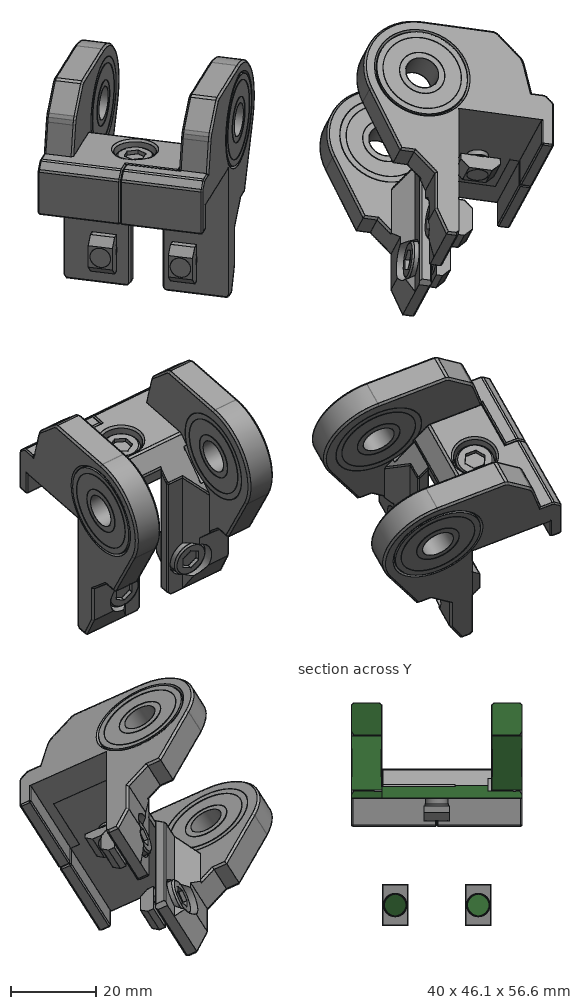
import cadquery as cq
import math


overall_width = 40.0
half_width = overall_width / 2
ear_thickness = 7.15
ear_inner_x = half_width - ear_thickness
leg_inner_x = 3.9
front_y = -23.1
top_z = 22.35
bottom_z = -34.25

hub_radius = 14.1
hub_y = 8.9
hub_z = top_z - hub_radius
plate_top_z = 6.85
lip_thickness = 2.95
lip_bottom_z = -6.6
lip_bevel = 2.0
ear_front_y = -17.85
ear_top_front_y = -9.1
ear_shoulder_drop = 6.45
ear_facet_y = -16.1
ear_facet_z = 14.3
ear_foot = 0.5
leg_thickness = 2.9
ear_back_tip_y = 14.15
ear_back_tip_z = -13.2
ear_step_y = 10.75
leg_ear_y = 5.7
leg_taper_z = -27.9

slope_start_y = -3.85
gusset_size = 4.5

ear_bevel = 0.5
edge_bevel = 0.4
leg_corner_bevel = 1.0
lip_edge_bevel = 0.35
slope_edge_bevel = 0.3

bearing_diameter = 22.0
bearing_bore = 8.0
bearing_inner_ring = 11.0
bearing_seal_diameter = 19.0
seal_depth = 0.1
seat_diameter = 22.2
seat_relief = 0.85
seat_bevel = 0.5

shank_diameter = 5.2
thread_diameter = 5.0
head_diameter = 9.0
head_height = 2.85
head_bevel = 0.45
hex_width = 4.5
hex_depth = 1.0
counterbore_diameter = 10.0
counterbore_bevel = 0.5
leg_screw_x = 9.75
leg_screw_z = -25.0
leg_seat = 1.45
plate_screw_y = -9.95
plate_seat = 2.6

nut_gap = 1.8
nut_length = 9.55
nut_width = 5.9
nut_height = 3.5
nut_bevel = 2.0
collar_diameter = 5.5
collar_height = 0.5

nut_end = nut_gap + nut_height
nut_top = collar_height - nut_gap
ear_core_x = -(half_width + ear_inner_x) / 2
slope_z = slope_start_y + plate_top_z
ear_foot_y = ear_front_y - ear_foot
hub_arc_middle = math.radians(30)
tolerance = 0.005
far = 56.6


def prism(outline, x_start, x_end):
    """Extrude a side outline, given as a YZ sketch, from x_start to x_end."""
    return outline(cq.Workplane("YZ", origin=(x_start, 0, 0))).close().extrude(x_end - x_start)


def bevel_edges_at(solid, points, size):
    """Bevel the edges whose midpoints are nearest to the given points."""
    chosen = [solid.edges(cq.selectors.NearestToPointSelector(point)).val() for point in points]
    return solid.newObject(chosen).chamfer(size)


def hub_tangent_point():
    """Point where the line from the back tip of the ear touches the hub circle."""
    dy = ear_back_tip_y - hub_y
    dz = ear_back_tip_z - hub_z
    angle = math.atan2(dz, dy) + math.acos(hub_radius / math.hypot(dy, dz))
    return hub_at(angle)


def hub_at(angle):
    return (hub_y + hub_radius * math.cos(angle), hub_z + hub_radius * math.sin(angle))


shoulder = (ear_top_front_y - ear_shoulder_drop, top_z - ear_shoulder_drop)
lip_bevel_top = (front_y + lip_bevel, plate_top_z)
lip_bevel_front = (front_y, plate_top_z - lip_bevel)
lip_kinks = [
    lip_bevel_top,
    lip_bevel_front,
    (front_y, lip_bottom_z),
    (front_y + lip_thickness, lip_bottom_z),
]


def is_free(edge):
    """False for edges along the profile corner, which stay sharp."""
    center = edge.Center()
    on_leg_front = abs(center.y) < tolerance and center.z < 0
    on_underside = abs(center.z) < tolerance and center.y < 0
    return not (on_leg_front or on_underside)


def ear_outline(sketch):
    return (
        sketch.moveTo(0, 0)
        .lineTo(ear_foot_y, 0)
        .lineTo(ear_foot_y, plate_top_z)
        .lineTo(ear_front_y, plate_top_z)
        .lineTo(ear_facet_y, ear_facet_z)
        .lineTo(*shoulder)
        .lineTo(ear_top_front_y, top_z)
        .lineTo(hub_y, top_z)
        .threePointArc(hub_at(hub_arc_middle), hub_tangent_point())
        .lineTo(ear_back_tip_y, ear_back_tip_z)
        .lineTo(ear_step_y, ear_back_tip_z)
        .lineTo(leg_ear_y, ear_back_tip_z - (ear_step_y - leg_ear_y))
        .lineTo(leg_ear_y, leg_taper_z)
        .lineTo(leg_thickness, bottom_z)
        .lineTo(0, bottom_z)
    )


def low_outline(sketch):
    """Side outline of everything below the flat plate top and the sloped back."""
    return (
        sketch.moveTo(front_y + lip_thickness, 0)
        .lineTo(front_y + lip_thickness, lip_bottom_z)
        .lineTo(front_y, lip_bottom_z)
        .lineTo(*lip_bevel_front)
        .lineTo(*lip_bevel_top)
        .lineTo(slope_start_y, plate_top_z)
        .lineTo(ear_step_y, slope_z - ear_step_y)
        .lineTo(ear_step_y, ear_back_tip_z)
        .lineTo(leg_ear_y, ear_back_tip_z - (ear_step_y - leg_ear_y))
        .lineTo(leg_ear_y, leg_taper_z)
        .lineTo(leg_thickness, bottom_z)
        .lineTo(0, bottom_z)
        .lineTo(0, 0)
    )


def low_section(x_start, x_end, y_start, y_end):
    """Slice of the low outline between two X and two Y positions, with its kinks bevelled."""
    body = prism(low_outline, x_start, x_end)
    middle_x = (x_start + x_end) / 2
    body = bevel_edges_at(body, [(middle_x, y, z) for y, z in lip_kinks], lip_edge_bevel)
    ends = [(middle_x, slope_start_y, plate_top_z), (middle_x, 0, bottom_z)]
    body = bevel_edges_at(body, ends, edge_bevel)
    window = cq.Workplane("XY", origin=(0, (y_start + y_end) / 2, 0))
    window = window.box(2 * far, y_end - y_start, 2 * far)
    return body.intersect(window)


def ear():
    """Left ear over its full outline, bevelled all round except along the profile corner."""
    body = prism(ear_outline, -half_width, -ear_inner_x)
    kinks = [shoulder, (ear_top_front_y, top_z)]
    body = bevel_edges_at(body, [(ear_core_x, y, z) for y, z in kinks], ear_bevel)
    body = bevel_edges_at(body, [(ear_core_x, 0, bottom_z)], edge_bevel)
    for side in ("<X", ">X"):
        outline = body.faces(side).edges().vals()
        rim = [edge for edge in outline if is_free(edge) and edge.Center().y > ear_foot_y + tolerance]
        body = body.newObject(rim).chamfer(ear_bevel)
    return body


def leg():
    """Left leg with its gusset against the ear, cut off by the sloped back."""
    plan = (
        cq.Workplane("XY", origin=(0, 0, bottom_z))
        .moveTo(ear_core_x, 0)
        .lineTo(-leg_inner_x - edge_bevel, 0)
        .lineTo(-leg_inner_x, edge_bevel)
        .lineTo(-leg_inner_x, leg_thickness - edge_bevel)
        .lineTo(-leg_inner_x - edge_bevel, leg_thickness)
        .lineTo(-ear_inner_x + gusset_size, leg_thickness)
        .lineTo(-ear_inner_x, leg_thickness + gusset_size)
        .lineTo(ear_core_x, leg_thickness + gusset_size)
        .close()
        .extrude(far)
    )
    body = plan.edges("|Y").edges(">X and <Z").chamfer(leg_corner_bevel)
    body = body.intersect(low_section(-half_width, 0, 0, far))
    gusset_middle_y = leg_thickness + gusset_size / 2
    slope_rim = [
        (-ear_inner_x + gusset_size / 2, gusset_middle_y, slope_z - gusset_middle_y),
        (-leg_inner_x, leg_thickness / 2, slope_z - leg_thickness / 2),
        (-leg_inner_x - edge_bevel / 2, leg_thickness - edge_bevel / 2, slope_z - leg_thickness),
        (-ear_inner_x / 2, leg_thickness, slope_z - leg_thickness),
    ]
    return bevel_edges_at(body, slope_rim, slope_edge_bevel)


def lip(rear_y):
    """Left front lip from the outer side to the mid plane, bevelled at both ends."""
    body = low_section(-half_width, 0, front_y, rear_y)
    for side in ("<X", ">X"):
        end = body.faces(side).edges().vals()
        rim = [edge for edge in end if is_free(edge) and edge.Center().y < rear_y - tolerance]
        body = body.newObject(rim).chamfer(lip_edge_bevel)
    return body


def rear_bevelled_lip():
    return lip(ear_front_y).faces(">Y").edges(">Z").chamfer(lip_edge_bevel)


def tongue():
    """Plate of the left bracket that reaches across to the right ear."""
    body = low_section(ear_core_x, ear_inner_x, ear_front_y, 0)
    end = body.faces(">X").edges().vals()
    top = [edge for edge in end if edge.Center().z > tolerance]
    rim = [edge for edge in top if ear_front_y + tolerance < edge.Center().y < -tolerance]
    body = body.newObject(rim).chamfer(lip_edge_bevel)
    body = body.faces("<Y").edges(">Z").chamfer(lip_edge_bevel)
    return body.faces(">Y").edges(">Z").chamfer(lip_edge_bevel)


def round_bar(diameter, start, direction, length):
    bar = cq.Solid.makeCylinder(diameter / 2, length, cq.Vector(*start), cq.Vector(*direction))
    return cq.Workplane(bar)


def bevelled_bore(diameter, bevel, face_point, direction, depth):
    """Bore that enters at face_point, with a conical bevel at its mouth."""
    bore = round_bar(diameter, face_point, direction, depth)
    mouth = cq.Solid.makeCone(
        diameter / 2 + bevel, diameter / 2, bevel, cq.Vector(*face_point), cq.Vector(*direction)
    )
    return bore.union(cq.Workplane(mouth))


def cut_holes(body):
    """Cut the bearing seat and the counterbored leg screw hole into a left-hand bracket."""
    seat = bevelled_bore(
        seat_diameter, seat_bevel, (-half_width, hub_y, hub_z), (1, 0, 0), ear_thickness + seat_relief
    )
    screw_hole = round_bar(shank_diameter, (-leg_screw_x, 0, leg_screw_z), (0, 1, 0), leg_seat)
    counterbore = round_bar(counterbore_diameter, (-leg_screw_x, leg_seat, leg_screw_z), (0, 1, 0), far)
    return body.cut(seat).cut(screw_hole).cut(counterbore)


def left_bracket():
    corner_fill = low_section(ear_core_x, -leg_inner_x - edge_bevel, slope_start_y, leg_thickness / 2)
    above_plate = cq.Workplane("XY").box(far, far, far, centered=(True, True, False))
    corner_fill = corner_fill.intersect(above_plate)
    body = ear().union(leg()).union(lip(slope_start_y)).union(tongue()).union(corner_fill)
    screw_hole = round_bar(shank_diameter, (0, plate_screw_y, 0), (0, 0, 1), plate_seat)
    counterbore = bevelled_bore(
        counterbore_diameter,
        counterbore_bevel,
        (0, plate_screw_y, plate_top_z),
        (0, 0, -1),
        plate_top_z - plate_seat,
    )
    return cut_holes(body).cut(screw_hole).cut(counterbore)


def right_bracket():
    body = ear().union(leg()).union(rear_bevelled_lip())
    return cut_holes(body).mirror("YZ")


def bearing(x_start):
    """Ball bearing across the ear, with a shallow annular seal recess on both faces."""
    body = round_bar(bearing_diameter, (x_start, hub_y, hub_z), (1, 0, 0), ear_thickness)
    body = body.cut(round_bar(bearing_bore, (x_start, hub_y, hub_z), (1, 0, 0), ear_thickness))
    for x in (x_start, x_start + ear_thickness - seal_depth):
        recess = round_bar(bearing_seal_diameter, (x, hub_y, hub_z), (1, 0, 0), seal_depth)
        recess = recess.cut(round_bar(bearing_inner_ring, (x, hub_y, hub_z), (1, 0, 0), seal_depth))
        body = body.cut(recess)
    return body


def screw(seat_height):
    """Socket screw along Z; Z = 0 is the clamped face and the head sits at seat_height."""
    shank = round_bar(shank_diameter, (0, 0, nut_top), (0, 0, 1), seat_height - nut_top)
    thread = round_bar(thread_diameter, (0, 0, -nut_end), (0, 0, 1), nut_end + nut_top)
    head = round_bar(head_diameter, (0, 0, seat_height), (0, 0, 1), head_height)
    head = head.faces(">Z").edges().chamfer(head_bevel)
    socket = (
        cq.Workplane("XY")
        .workplane(offset=seat_height + head_height - hex_depth)
        .polygon(6, hex_width, circumscribed=True)
        .extrude(hex_depth)
    )
    return thread.union(shank).union(head).cut(socket)


def slot_nut():
    """Bevelled slot nut on the screw axis Z, long side along Y, with a collar towards Z = 0."""
    body = cq.Workplane("XY", origin=(0, 0, -nut_end))
    body = body.box(nut_width, nut_length, nut_height, centered=(True, True, False))
    body = body.faces("<Z").edges("|X").chamfer(nut_bevel)
    collar = round_bar(collar_diameter, (0, 0, -nut_gap), (0, 0, 1), collar_height)
    hole = round_bar(thread_diameter, (0, 0, -nut_end), (0, 0, 1), nut_end)
    return body.union(collar).cut(hole)


def place_on_plate(fastener):
    return fastener.translate((0, plate_screw_y, 0))


def place_on_leg(fastener, x):
    return fastener.rotate((0, 0, 0), (1, 0, 0), -90).translate((x, 0, leg_screw_z))


bodies = [left_bracket(), right_bracket()]
for bearing_x in (-half_width, ear_inner_x):
    bodies.append(bearing(bearing_x))

bodies.append(place_on_plate(screw(plate_seat)))
bodies.append(place_on_plate(slot_nut()))
for screw_x in (-leg_screw_x, leg_screw_x):
    bodies.append(place_on_leg(screw(leg_seat), screw_x))
    bodies.append(place_on_leg(slot_nut(), screw_x))

result = cq.Compound.makeCompound([body.val() for body in bodies])